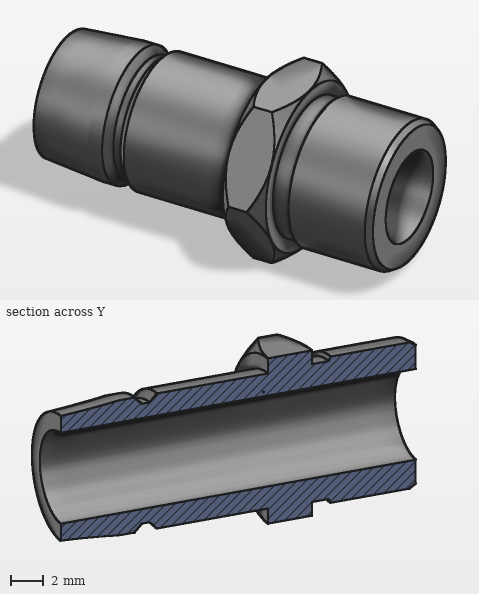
import cadquery as cq
import math


nose_end = 4.0
groove_start = 5.0
hex_start = 14.0
hex_end = 17.0
undercut_end = 18.1
total_length = 24.0

nose_diameter = 8.3
stem_diameter = 9.0
groove_diameter = 8.0
undercut_diameter = 9.2
spigot_diameter = 9.75
bore_diameter = 6.0

groove_floor_length = 0.5
spigot_shoulder_length = 0.15
spigot_tip_length = 0.43
spigot_tip_depth = 0.26

hex_across_flats = 11.0
hex_across_corners = hex_across_flats / math.cos(math.radians(30))
hex_face_diameter = 10.97

nose_radius = nose_diameter / 2
stem_radius = stem_diameter / 2
groove_radius = groove_diameter / 2
undercut_radius = undercut_diameter / 2
spigot_radius = spigot_diameter / 2
groove_depth = stem_radius - groove_radius
groove_floor_start = groove_start + groove_depth
groove_floor_end = groove_floor_start + groove_floor_length
groove_end = groove_floor_end + groove_depth
hex_length = hex_end - hex_start


def revolve_about_x(profile):
    return profile.close().revolve(360, (0, 0, 0), (1, 0, 0))


def make_turned_body():
    """Round body: tapered nose, 45-degree groove, stem, undercut and cone-shouldered spigot."""
    spigot_tip_radius = spigot_radius - spigot_tip_depth
    profile = (
        cq.Workplane("XY")
        .lineTo(0, nose_radius)
        .lineTo(nose_end, stem_radius)
        .lineTo(groove_start, stem_radius)
        .lineTo(groove_floor_start, groove_radius)
        .lineTo(groove_floor_end, groove_radius)
        .lineTo(groove_end, stem_radius)
        .lineTo(hex_start, stem_radius)
        .lineTo(hex_start, undercut_radius)
        .lineTo(undercut_end, undercut_radius)
        .lineTo(undercut_end + spigot_shoulder_length, spigot_radius)
        .lineTo(total_length - spigot_tip_length, spigot_radius)
        .lineTo(total_length, spigot_tip_radius)
        .lineTo(total_length, 0)
    )
    return revolve_about_x(profile)


def make_hexagon():
    """Hexagonal collar whose corners are turned back at 45 degrees on both faces."""
    prism = (
        cq.Workplane("YZ")
        .workplane(offset=hex_start)
        .polygon(6, hex_across_corners)
        .extrude(hex_length)
    )
    face_radius = hex_face_diameter / 2
    corner_radius = hex_across_corners / 2
    corner_setback = corner_radius - face_radius
    envelope = (
        cq.Workplane("XY")
        .moveTo(hex_start, 0)
        .lineTo(hex_start, face_radius)
        .lineTo(hex_start + corner_setback, corner_radius)
        .lineTo(hex_end - corner_setback, corner_radius)
        .lineTo(hex_end, face_radius)
        .lineTo(hex_end, 0)
    )
    return prism.intersect(revolve_about_x(envelope))


def make_bore():
    return cq.Workplane("YZ").circle(bore_diameter / 2).extrude(total_length)


result = make_turned_body().union(make_hexagon()).cut(make_bore())